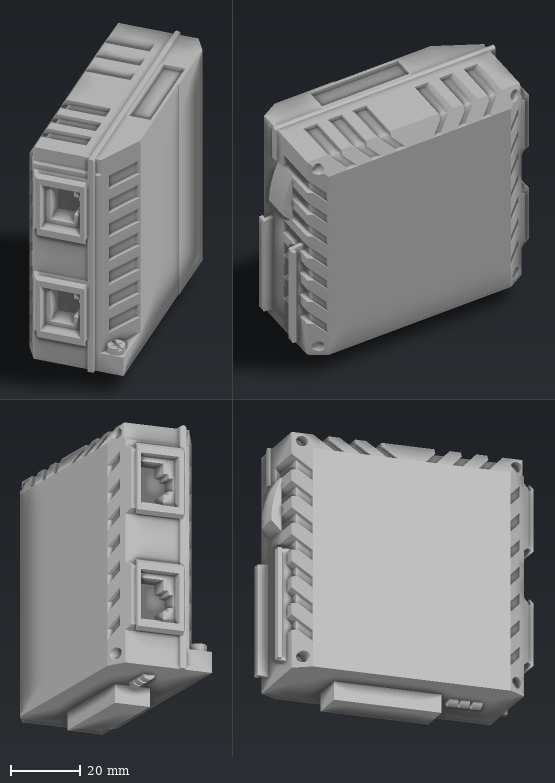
import cadquery as cq


WIDTH = 30.9
HOUSING_DEPTH = 71.7
HOUSING_HEIGHT = 72.0
SHELL_WIDTH = 20.1
BEVEL_RUN = 5.3
BEVEL_SLOPE = 0.6
BROW_STEP = 0.6
BROW_BOTTOM = 66.7
REACH = 157

BEAD_END = 22
BEAD_TOP = 72.7
BEAD_FRONT = -1.25
BEAD_BACK = 72.45
BACK_BEAD_BOTTOM = 60.9
BEAD_ROUND = 0.7

SLOT_DEPTH = 1.6
SLOT_WIDTH = 4.8
SLOT_PITCH = 8.2
SLOT_END = 16.95
SIDE_SLOT_START = 65.3
SIDE_SLOT_COUNT = 7
TOP_SLOT_START = 6.6
TOP_SLOT_COUNT = 3

HOLE_RADIUS = 1.8
HOLE_INSET = 2.8
HOLE_LOWER_Z = 3.2
HOLE_FLOOR = 6.3
HOLE_TAPER = 2

JACK_CENTRES = (54.8, 19.9)
PAD_HALF_HEIGHT = 8.8
PAD_DEPTH = 1.8
PAD_BEVEL = 1.4
BEZEL_START = 5.3
BEZEL_FRONT = -3.7
BEZEL_HALF_HEIGHT = 10.6
BEZEL_BEVEL = 1.0
BEZEL_BACK = -2.4
BEZEL_LIP = 0.5
OPENING_START = 6.5
OPENING_END = 18.7
OPENING_HEIGHT = 15.1
OPENING_DEPTH = 3.9
PORT_DEPTH = 6.3
PORT_START = 8.25
PORT_STEPS = ((15.5, 12.25), (16.95, 6.2), (18.5, 3.9))

COVER_X = 30.7
COVER_PLATE_FRONT = 46.4
COVER_BEVEL_X = 3.15
COVER_BEVEL_Y = 5.3
LABEL_X = (23.0, 29.7)
LABEL_Y = (25.8, 55.1)
LABEL_DEPTH = 1.6
LEDGE_HEIGHT = 6.3
SLANT_START_X = 23.4
SLANT_END_Y = 14.4
TERMINAL_START_X = 25.1
TERMINAL_TOP = 65.55
TERMINAL_WIDTH = 4.95
TERMINAL_DEPTH = 1.2
TERMINAL_DROP = 1.5
SCREW_X = 27.55
SCREW_Y = 2.8
SCREW_RADIUS = 2.6
SCREW_HEIGHT = 2.2
SCREW_SLOT_WIDTH = 1.2
SCREW_SLOT_DEPTH = 0.8
SCREW_TURN = -45
CROSS_ARM_WIDTH = 0.6
CROSS_ARM_LENGTH = 3.3

CLIP_BACK = 74.8
HOOK_TOP = 37.7
HOOK_BOTTOM = 3.4
HOOK_DRAFT = 0.3
HOOK_LIP = 1.2
HOOK_LEG = 1.25
HOOK_WIDTH = 2.75
LEFT_HOOK_X = 5.9
RIGHT_HOOK_X = 22.5
CATCH_X = (11.55, 19.6)
CATCH_TOP = 60.9
CATCH_BOTTOM = 44.3
CATCH_TIP = 1.25
CATCH_BULGE = 0.75
FOOT_X = (10.3, 21.35)
FOOT_Y = (22.8, 55.9)
FOOT_HEIGHT = 5.6
ROLLER_X = 14.8
ROLLER_Z = 0.3
ROLLER_RADIUS = 1.9
ROLLER_LENGTH = 2.8
ROLLER_STARTS = (9.1, 12.95, 16.5)


def block(x_range, y_range, z_range):
    """Box spanning the three given ranges."""
    size = [end - start for start, end in (x_range, y_range, z_range)]
    return cq.Workplane("XY").box(*size, centered=False).translate((x_range[0], y_range[0], z_range[0]))


def prism_x(points, start, end):
    """Prism of a (y, z) outline between two x positions."""
    return cq.Workplane("YZ").polyline(points).close().extrude(end - start).translate((start, 0, 0))


def bevelled_envelope(inset, floor, front_reach):
    """Shell outline bevelled on the front, back and top, set in from the walls by `inset`."""
    def bevel(run):
        return floor + BEVEL_SLOPE * (BEVEL_RUN - run)

    back = HOUSING_DEPTH - inset
    top = HOUSING_HEIGHT - inset
    front = inset - front_reach
    plan = [
        (floor, BEVEL_RUN), (bevel(front), front), (SHELL_WIDTH, front),
        (SHELL_WIDTH, back), (bevel(inset), back), (floor, HOUSING_DEPTH - BEVEL_RUN),
    ]
    elevation = [
        (floor, 0), (SHELL_WIDTH, 0), (SHELL_WIDTH, top),
        (bevel(inset), top), (floor, HOUSING_HEIGHT - BEVEL_RUN),
    ]
    plan_prism = cq.Workplane("XY").polyline(plan).close().extrude(REACH)
    side_prism = cq.Workplane("XZ").polyline(elevation).close().extrude(REACH, both=True)
    return plan_prism.intersect(side_prism)


def front_stepped(start, end):
    """Housing block whose front wall sets back below the top edge."""
    return prism_x(
        [
            (0, 0), (HOUSING_DEPTH, 0), (HOUSING_DEPTH, HOUSING_HEIGHT), (BROW_STEP, HOUSING_HEIGHT),
            (BROW_STEP, BROW_BOTTOM + BROW_STEP), (0, BROW_BOTTOM),
        ],
        start, end,
    )


def jack_pad(centre):
    """Raised pad with sloped ends behind a jack bezel."""
    outer = PAD_HALF_HEIGHT + PAD_BEVEL
    return prism_x(
        [
            (BEVEL_RUN, centre - outer), (0, centre - outer), (-PAD_DEPTH, centre - PAD_HALF_HEIGHT),
            (-PAD_DEPTH, centre + PAD_HALF_HEIGHT), (0, centre + outer), (BEVEL_RUN, centre + outer),
        ],
        0, SHELL_WIDTH,
    )


def jack_bezel(centre):
    """Frame in front of a pad, with bevelled ends that overhang a shallow groove."""
    upper = [
        (-PAD_DEPTH, PAD_HALF_HEIGHT), (BEZEL_BACK, PAD_HALF_HEIGHT),
        (BEZEL_BACK - BEZEL_LIP, PAD_HALF_HEIGHT + BEZEL_LIP),
        (BEZEL_BACK, BEZEL_HALF_HEIGHT), (BEZEL_FRONT, BEZEL_HALF_HEIGHT - BEZEL_BEVEL),
    ]
    lower = [(y, -z) for y, z in reversed(upper)]
    outline = [(y, centre + z) for y, z in upper + lower]
    return prism_x(outline, BEZEL_START, SHELL_WIDTH)


def jack_cavity(centre):
    """Rectangular opening with the stepped port behind it."""
    def pocket(x_range, height, y_range):
        return block(x_range, y_range, (centre - height / 2, centre + height / 2))

    opening_back = BEZEL_FRONT + OPENING_DEPTH
    cavity = pocket((OPENING_START, OPENING_END), OPENING_HEIGHT, (BEZEL_FRONT, opening_back))
    for end, height in PORT_STEPS:
        cavity = cavity.union(pocket((PORT_START, end), height, (BEZEL_FRONT, opening_back + PORT_DEPTH)))
    return cavity


def slot_outline(open_to_wall):
    """(along, inward) outline of a slot that turns 45 degrees across the bevel."""
    inner_run = BEVEL_RUN - SLOT_DEPTH
    outline = [(BEVEL_RUN, BEVEL_RUN), (SLOT_WIDTH + inner_run, BEVEL_RUN), (SLOT_WIDTH, SLOT_DEPTH)]
    if open_to_wall:
        return [(0, 0)] + outline + [(SLOT_WIDTH, 0)]
    return [(SLOT_DEPTH, SLOT_DEPTH)] + outline


def vent_slots():
    """All slots, bottomed out on a core that runs parallel to the walls and bevels."""
    outlines = []
    for index in range(SIDE_SLOT_COUNT):
        start = SIDE_SLOT_START - index * SLOT_PITCH
        outlines.append([(HOUSING_DEPTH - inward, start - along) for along, inward in slot_outline(True)])
        outlines.append([(inward, start - along) for along, inward in slot_outline(False)])
    for index in range(TOP_SLOT_COUNT):
        start = TOP_SLOT_START + index * SLOT_PITCH
        front = [(start + along, HOUSING_HEIGHT - inward) for along, inward in slot_outline(True)]
        outlines.append(front)
        outlines.append([(HOUSING_DEPTH - y, z) for y, z in front])
    slots = prism_x(outlines[0], 0, SLOT_END)
    for outline in outlines[1:]:
        slots = slots.union(prism_x(outline, 0, SLOT_END))
    return slots.cut(bevelled_envelope(SLOT_DEPTH, SLOT_DEPTH, 0))


def corner_holes():
    """Slightly tapered screw holes along X in the four corners of the bevelled side."""
    places = [
        (y, z)
        for y in (HOLE_INSET, HOUSING_DEPTH - HOLE_INSET)
        for z in (HOLE_LOWER_Z, HOUSING_HEIGHT - HOLE_INSET)
    ]
    return cq.Workplane("YZ").pushPoints(places).circle(HOLE_RADIUS).extrude(HOLE_FLOOR, taper=HOLE_TAPER)


def shell():
    """Bevelled half with its jacks, slots and screw holes."""
    body = front_stepped(0, SHELL_WIDTH)
    for centre in JACK_CENTRES:
        body = body.union(jack_pad(centre))
    body = body.intersect(bevelled_envelope(0, 0, PAD_DEPTH))
    body = body.cut(vent_slots()).cut(corner_holes())
    for centre in JACK_CENTRES:
        body = body.union(jack_bezel(centre)).cut(jack_cavity(centre))
    return body


def seam_bead():
    """Raised bead around the seam, rounded along the top and ending part way down the back."""
    shoulder = BEAD_TOP - BEAD_ROUND
    bead = (
        cq.Workplane("XZ")
        .moveTo(SHELL_WIDTH, 0)
        .lineTo(SHELL_WIDTH, shoulder)
        .threePointArc(((SHELL_WIDTH + BEAD_END) / 2, BEAD_TOP), (BEAD_END, shoulder))
        .lineTo(BEAD_END, 0)
        .close()
        .extrude(BEAD_FRONT - BEAD_BACK)
        .translate((0, BEAD_FRONT, 0))
    )
    return bead.cut(block((0, WIDTH), (HOUSING_DEPTH, BEAD_BACK), (0, BACK_BEAD_BOTTOM)))


def terminal_slots():
    """Row of slots in the slanted face, each with a sloped upper wall and a square end at the edge."""
    run_x = COVER_X - SLANT_START_X
    start_y = (TERMINAL_START_X - SLANT_START_X) / run_x * SLANT_END_Y
    along_face = (run_x, SLANT_END_Y, 0)
    into_face = (-SLANT_END_Y, run_x, 0)
    profile = [
        (0, 0), (TERMINAL_DEPTH, -TERMINAL_DROP), (TERMINAL_DEPTH, -TERMINAL_WIDTH), (0, -TERMINAL_WIDTH),
    ]
    end_trim = block((0, WIDTH), (SLANT_END_Y, REACH), (0, HOUSING_HEIGHT))
    slots = []
    for index in range(SIDE_SLOT_COUNT):
        origin = (TERMINAL_START_X, start_y, TERMINAL_TOP - index * SLOT_PITCH)
        plane = cq.Plane(origin=origin, xDir=into_face, normal=along_face)
        slot = cq.Workplane(plane).polyline(profile).close().extrude(SLANT_END_Y)
        slots.append(slot.cut(end_trim))
    return slots


def ledge_screw():
    """Screw head with a slot and a shorter cross arm, standing on the terminal ledge."""
    head = cq.Workplane("XY").circle(SCREW_RADIUS).extrude(SCREW_HEIGHT)
    slot = cq.Workplane("XY").rect(2 * SCREW_RADIUS, SCREW_SLOT_WIDTH).extrude(SCREW_SLOT_DEPTH)
    arm = cq.Workplane("XY").rect(CROSS_ARM_WIDTH, CROSS_ARM_LENGTH).extrude(SCREW_SLOT_DEPTH)
    cross = slot.union(arm).rotate((0, 0, 0), (0, 0, 1), SCREW_TURN)
    cross = cross.translate((0, 0, SCREW_HEIGHT - SCREW_SLOT_DEPTH))
    return head.cut(cross).translate((SCREW_X, SCREW_Y, LEDGE_HEIGHT))


def terminal_half():
    """Cover half with a slanted terminal face above a ledge and a label recess on top."""
    plan = [
        (BEAD_END, 0), (COVER_X, 0), (COVER_X, COVER_PLATE_FRONT), (WIDTH, COVER_PLATE_FRONT),
        (WIDTH, HOUSING_DEPTH - COVER_BEVEL_Y), (WIDTH - COVER_BEVEL_X, HOUSING_DEPTH),
        (BEAD_END, HOUSING_DEPTH),
    ]
    body = cq.Workplane("XY").polyline(plan).close().extrude(HOUSING_HEIGHT)
    body = body.intersect(front_stepped(BEAD_END, WIDTH))
    slant = [(SLANT_START_X, 0), (COVER_X, SLANT_END_Y), (COVER_X, 0)]
    body = body.cut(
        cq.Workplane("XY").workplane(offset=LEDGE_HEIGHT).polyline(slant).close().extrude(HOUSING_HEIGHT)
    )
    for slot in terminal_slots():
        body = body.cut(slot)
    body = body.cut(block(LABEL_X, LABEL_Y, (HOUSING_HEIGHT - LABEL_DEPTH, HOUSING_HEIGHT)))
    return body.union(ledge_screw())


def rail_hook(leg_x, lip_x):
    """Upright hook on the back wall: a leg rooted at slot depth with drafted ends, and a sideways lip."""
    root = HOUSING_DEPTH - SLOT_DEPTH
    lip_front = CLIP_BACK - HOOK_LIP
    leg = prism_x(
        [
            (root, HOOK_BOTTOM), (HOUSING_DEPTH, HOOK_BOTTOM), (CLIP_BACK, HOOK_BOTTOM + HOOK_DRAFT),
            (CLIP_BACK, HOOK_TOP - HOOK_DRAFT), (HOUSING_DEPTH, HOOK_TOP), (root, HOOK_TOP),
        ],
        leg_x, leg_x + HOOK_LEG,
    )
    lip_z = (HOOK_BOTTOM + HOOK_DRAFT, HOOK_TOP - HOOK_DRAFT)
    return leg.union(block((lip_x, lip_x + HOOK_WIDTH), (lip_front, CLIP_BACK), lip_z))


def rail_catch():
    """Wedge catch on the back wall with a curved lead-in."""
    overhang = CLIP_BACK - HOUSING_DEPTH
    nose = CATCH_BOTTOM + overhang
    lead_in_middle = (HOUSING_DEPTH + CATCH_BULGE * overhang, (CATCH_TOP + nose) / 2)
    return (
        cq.Workplane("YZ")
        .moveTo(HOUSING_DEPTH, CATCH_TOP)
        .threePointArc(lead_in_middle, (CLIP_BACK, nose + CATCH_TIP))
        .lineTo(CLIP_BACK, nose)
        .lineTo(HOUSING_DEPTH, CATCH_BOTTOM)
        .close()
        .extrude(CATCH_X[1] - CATCH_X[0])
        .translate((CATCH_X[0], 0, 0))
    )


def roller(start):
    """Short cylinder along Y, about half sunk in the housing floor."""
    return (
        cq.Workplane("XZ")
        .center(ROLLER_X, ROLLER_Z)
        .circle(ROLLER_RADIUS)
        .extrude(-ROLLER_LENGTH)
        .translate((0, start, 0))
    )


result = shell().union(seam_bead()).union(terminal_half())
result = result.union(rail_hook(LEFT_HOOK_X + HOOK_WIDTH - HOOK_LEG, LEFT_HOOK_X))
result = result.union(rail_hook(RIGHT_HOOK_X, RIGHT_HOOK_X))
result = result.union(rail_catch())
result = result.union(block(FOOT_X, FOOT_Y, (-FOOT_HEIGHT, 0)))
for roller_start in ROLLER_STARTS:
    result = result.union(roller(roller_start))